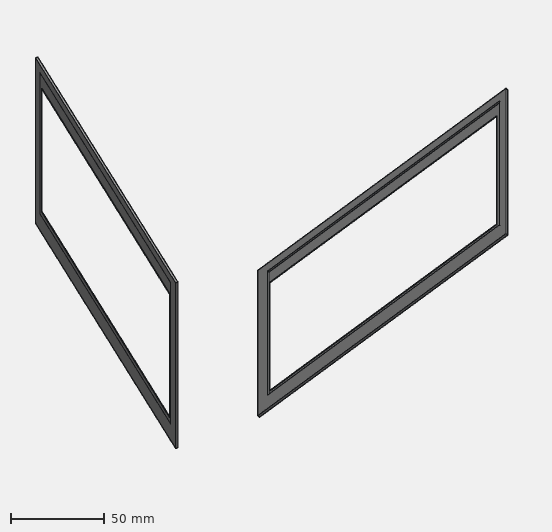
import cadquery as cq

width = 180.0
height = 131.5
thickness = 1.4

window_width = 164.5
window_height = 98.0

recess_left_margin = 4.9
recess_right_margin = 7.2
recess_width = width - recess_left_margin - recess_right_margin
recess_shift = (recess_left_margin - recess_right_margin) / 2
recess_height = 112.1
recess_rise = 2.5
front_skin = 0.4
recess_depth = thickness - front_skin


def make_plate():
    return cq.Workplane("XY").box(width, thickness, height)


def make_window():
    return cq.Workplane("XY").box(window_width, thickness, window_height)


def make_recess():
    recess_centre_y = thickness / 2 - recess_depth / 2
    block = cq.Workplane("XY").box(recess_width, recess_depth, recess_height)
    return block.translate((recess_shift, recess_centre_y, recess_rise))


result = make_plate().cut(make_window()).cut(make_recess())